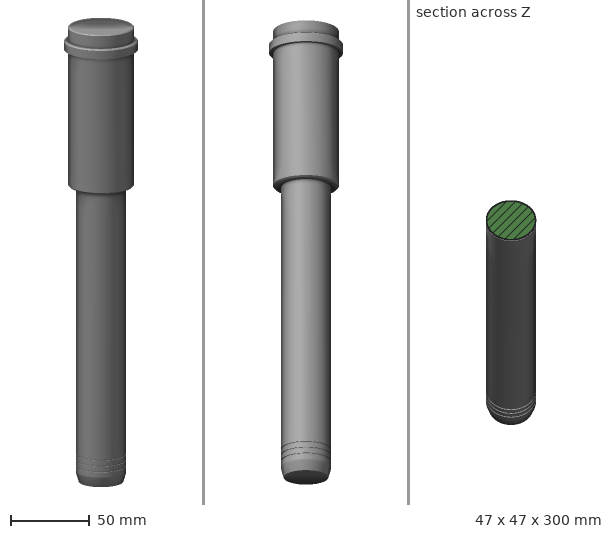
import cadquery as cq

total_length = 300.0
rod_diameter = 32.0

sleeve_diameter = 42.0
sleeve_length = 105.0
sleeve_bottom_chamfer = 1.0
sleeve_top_chamfer = 0.5

collar_diameter = 47.0
collar_top_offset = 9.0
collar_thickness = 6.0
collar_chamfer = 0.5

relief_width = 1.0
relief_depth = 0.3

tip_length = 7.0
tip_diameter = 28.5
tip_arc_radius = 30.0

oil_groove_count = 3
oil_groove_width = 1.0
oil_groove_depth = 0.5
oil_groove_pitch = 4.0
first_oil_groove_height = 10.2

rod_radius = rod_diameter / 2
sleeve_bottom = total_length - sleeve_length
collar_top = total_length - collar_top_offset
collar_bottom = collar_top - collar_thickness


def make_cylinder(diameter, bottom, length):
    return cq.Workplane("XY").workplane(offset=bottom).circle(diameter / 2).extrude(length)


def make_groove(diameter, depth, bottom, width):
    """Ring that cuts a square groove into a cylinder of the given diameter."""
    outer = make_cylinder(diameter + 2 * depth, bottom, width)
    inner = make_cylinder(diameter - 2 * depth, bottom, width)
    return outer.cut(inner)


def make_rod():
    """Full-length rod with a convex tapering tip, oil grooves and a relief under the sleeve."""
    rod = (
        cq.Workplane("XZ")
        .lineTo(tip_diameter / 2, 0)
        .radiusArc((rod_radius, tip_length), -tip_arc_radius)
        .lineTo(rod_radius, total_length)
        .lineTo(0, total_length)
        .close()
        .revolve(360, (0, 0, 0), (0, 1, 0))
    )
    for index in range(oil_groove_count):
        groove_bottom = first_oil_groove_height + index * oil_groove_pitch
        rod = rod.cut(make_groove(rod_diameter, oil_groove_depth, groove_bottom, oil_groove_width))
    return rod.cut(make_groove(rod_diameter, relief_depth, sleeve_bottom - relief_width, relief_width))


def make_sleeve():
    """Thicker upper length, chamfered at both ends, with a relief on each side of the collar."""
    sleeve = make_cylinder(sleeve_diameter, sleeve_bottom, sleeve_length)
    sleeve = sleeve.faces("<Z").chamfer(sleeve_bottom_chamfer)
    sleeve = sleeve.faces(">Z").chamfer(sleeve_top_chamfer)
    for relief_bottom in (collar_bottom - relief_width, collar_top):
        sleeve = sleeve.cut(make_groove(sleeve_diameter, relief_depth, relief_bottom, relief_width))
    return sleeve


def make_collar():
    """Disc that stands out from the sleeve as a ring, chamfered at its upper edge."""
    collar = make_cylinder(collar_diameter, collar_bottom, collar_thickness)
    return collar.faces(">Z").chamfer(collar_chamfer)


result = make_rod().union(make_sleeve()).union(make_collar())